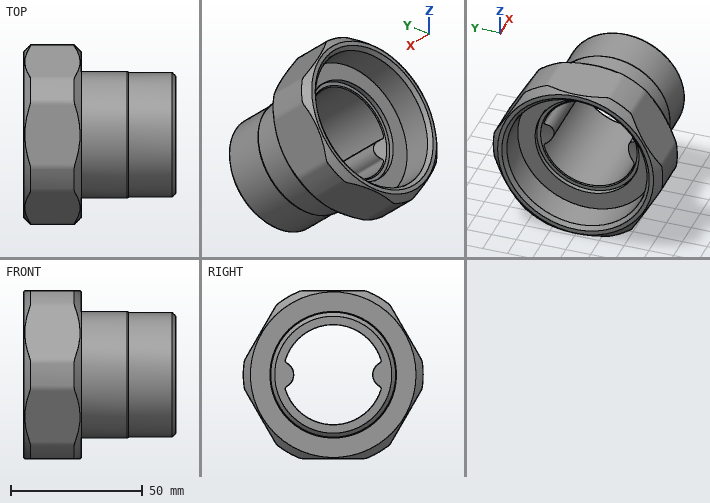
import cadquery as cq
import math


nut_length = 22.0
across_flats = 64.0
corner_radius = 34.25
corner_blend_radius = 5.0
nut_end_radius = 31.5
nut_chamfer = corner_radius - nut_end_radius
thread_bore_radius = 28.3
thread_mouth_radius = 29.8
thread_mouth_depth = 1.5

gasket_start = 13.0
gasket_thickness = 2.0
gasket_outer_radius = 28.0
gasket_inner_radius = 21.0

total_length = 58.0
flange_start = gasket_start + gasket_thickness
flange_end = 18.5
flange_radius = gasket_outer_radius
neck_radius = 24.1
neck_end = 39.4
spigot_radius = 23.75
spigot_start = 40.0
spigot_chamfer = 1.5
bore_radius = 19.0
bore_mouth_radius = 19.5
bore_mouth_angle = 30.0
rib_radius = 5.0
rib_offset = 20.0
rib_root_fillet = 1.0


def revolve_about_x(points):
    """Turn a closed (x, radius) outline around the X axis."""
    return cq.Workplane("XY").polyline(points).close().revolve(360, (0, 0, 0), (1, 0, 0))


def cylinder(radius, start, end):
    return cq.Workplane("YZ", origin=(start, 0, 0)).circle(radius).extrude(end - start)


def make_nut():
    across_corners = across_flats / math.cos(math.radians(30))
    hexagon = cq.Workplane("YZ").polygon(6, across_corners).extrude(nut_length)
    blank = hexagon.intersect(cylinder(corner_radius, 0, nut_length))
    blank = blank.edges("|X").fillet(corner_blend_radius)
    chamfered_envelope = cylinder(corner_radius, 0, nut_length).edges().chamfer(nut_chamfer)
    blank = blank.intersect(chamfered_envelope)
    cavity = revolve_about_x([
        (0, 0),
        (0, thread_mouth_radius),
        (thread_mouth_depth, thread_bore_radius),
        (flange_end, thread_bore_radius),
        (flange_end, neck_radius),
        (nut_length, neck_radius),
        (nut_length, 0),
    ])
    return blank.cut(cavity)


def make_gasket():
    ring = cylinder(gasket_outer_radius, gasket_start, flange_start)
    return ring.cut(cylinder(gasket_inner_radius, gasket_start, flange_start))


def make_tailpiece():
    outside = revolve_about_x([
        (flange_start, 0),
        (flange_start, flange_radius),
        (flange_end, flange_radius),
        (flange_end, neck_radius),
        (neck_end, neck_radius),
        (spigot_start, spigot_radius),
        (total_length - spigot_chamfer, spigot_radius),
        (total_length, spigot_radius - spigot_chamfer),
        (total_length, 0),
    ])
    bore = cylinder(bore_radius, flange_start, total_length)
    for side in (-1, 1):
        rib = cylinder(rib_radius, flange_start, total_length).translate((0, side * rib_offset, 0))
        bore = bore.cut(rib)
    bore = bore.edges("|X").fillet(rib_root_fillet)
    mouth_depth = bore_mouth_radius * math.tan(math.radians(bore_mouth_angle))
    mouth = revolve_about_x([
        (flange_start, 0),
        (flange_start, bore_mouth_radius),
        (flange_start + mouth_depth, 0),
    ])
    return outside.cut(bore).cut(mouth)


nut = make_nut()
gasket = make_gasket()
tailpiece = make_tailpiece()

result = cq.Compound.makeCompound([nut.val(), gasket.val(), tailpiece.val()])